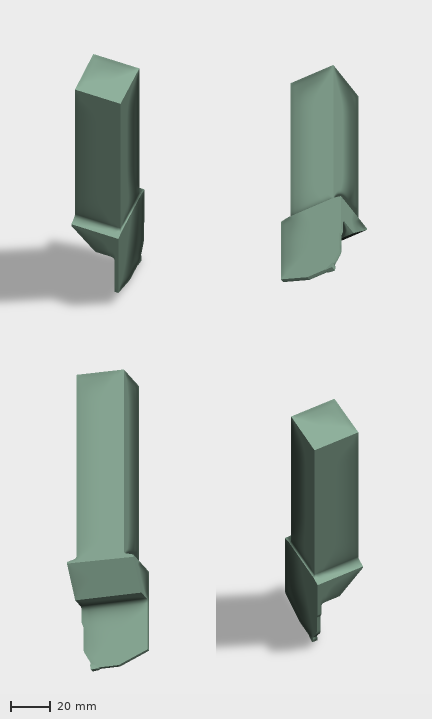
import cadquery as cq
import math


overall_length = 152.4
overall_width_x = 26.69
head_width_y = 35.47
half_head = head_width_y / 2

shank_size = 25.4
half_shank = shank_size / 2
shank_taper = 0.38

shoulder_start_z = -99.2
shoulder_fillet = 1.5
shoulder_slope = math.radians(15)
shoulder_overhang = half_head - half_shank

tip_overhang = 0.4
blade_outer_x = overall_width_x - tip_overhang
blade_thickness = 2.2
blade_inner_x = blade_outer_x - blade_thickness
blade_root_fillet = 1.8
head_slope_top_z = -102.6
head_slope_bottom_x = 13.6
head_bottom_z = -117.7
blade_bottom_z = -151.6

front_step_top_z = -126.0
front_step_bottom_z = -128.5
front_edge_y = 16.8
front_bend_z = -141.7
front_bend_radius = 7.0
back_corner_top_z = -144.8
back_corner_y = -2.2

insert_front = (12.9, -148.6)
insert_top_front = (10.4, -142.5)
insert_top_back = (6.0, -142.5)
insert_foot_back = (8.5, blade_bottom_z)
insert_foot = (8.8, -152.1)
insert_tip = (half_shank, -overall_length)
insert_rake = (13.15, -150.0)
insert_top_radius = 1.2


def shoulder_points():
    """Fillet middle, fillet end and outer edge, as (distance from shank, Z)."""
    fillet_turn = math.pi / 2 - shoulder_slope
    points = []
    for turn in (fillet_turn / 2, fillet_turn):
        distance = shoulder_fillet * (1 - math.cos(turn))
        points.append((distance, shoulder_start_z - shoulder_fillet * math.sin(turn)))
    end_distance, end_z = points[-1]
    edge_z = end_z - (shoulder_overhang - end_distance) * math.tan(shoulder_slope)
    points.append((shoulder_overhang, edge_z))
    return points


def insert_prism(thickness_start, thickness):
    """The insert outline, running along X."""
    outline = [insert_front, insert_top_front, insert_top_back, insert_foot_back,
               insert_foot, insert_tip, insert_rake]
    prism = (
        cq.Workplane("YZ", origin=(thickness_start, 0, 0))
        .polyline(outline)
        .close()
        .extrude(thickness)
    )
    for corner in (insert_top_front, insert_top_back):
        corner_edge = cq.selectors.NearestToPointSelector((thickness_start + thickness / 2, *corner))
        prism = prism.edges("|X").edges(corner_edge).fillet(insert_top_radius)
    return prism


def holder_side_prism():
    """Holder outline across X and Z: shank, sloped head and thin blade.

    The +X shoulder runs on past the blade's outer face, where the front prism trims it.
    """
    middle, end, edge = shoulder_points()
    prism = (
        cq.Workplane("XZ", origin=(0, half_head, 0))
        .moveTo(0, 0)
        .lineTo(shank_size, 0)
        .lineTo(shank_size, shoulder_start_z)
        .threePointArc((shank_size + middle[0], middle[1]), (shank_size + end[0], end[1]))
        .lineTo(shank_size + edge[0], edge[1])
        .lineTo(shank_size + edge[0], blade_bottom_z)
        .lineTo(blade_inner_x, blade_bottom_z)
        .lineTo(blade_inner_x, head_bottom_z)
        .lineTo(head_slope_bottom_x, head_bottom_z)
        .lineTo(0, head_slope_top_z)
        .close()
        .extrude(head_width_y)
    )
    root = cq.selectors.NearestToPointSelector((blade_inner_x, 0, head_bottom_z))
    return prism.edges("|Y").edges(root).fillet(blade_root_fillet)


def holder_front_prism():
    """Holder outline across Y and Z: shank, shoulders and blade edges."""
    middle, end, edge = shoulder_points()
    prism = (
        cq.Workplane("YZ")
        .moveTo(-half_shank, 0)
        .lineTo(half_shank, 0)
        .lineTo(half_shank, shoulder_start_z)
        .threePointArc((half_shank + middle[0], middle[1]), (half_shank + end[0], end[1]))
        .lineTo(half_shank + edge[0], edge[1])
        .lineTo(half_head, front_step_top_z)
        .lineTo(front_edge_y, front_step_bottom_z)
        .lineTo(front_edge_y, front_bend_z)
        .lineTo(*insert_front)
        .lineTo(*insert_foot_back)
        .lineTo(back_corner_y, blade_bottom_z)
        .lineTo(-half_head, back_corner_top_z)
        .lineTo(-half_shank - edge[0], edge[1])
        .lineTo(-half_shank - end[0], end[1])
        .threePointArc((-half_shank - middle[0], middle[1]), (-half_shank, shoulder_start_z))
        .close()
        .extrude(blade_outer_x)
    )
    bend = cq.selectors.NearestToPointSelector((blade_outer_x / 2, front_edge_y, front_bend_z))
    return prism.edges("|X").edges(bend).fillet(front_bend_radius)


def make_holder():
    holder = holder_side_prism().intersect(holder_front_prism())
    taper_wedge = (
        cq.Workplane("XY")
        .polyline([(0, half_head), (shank_taper, -half_head), (0, -half_head)])
        .close()
        .extrude(-overall_length)
    )
    return holder.cut(taper_wedge).cut(insert_prism(blade_inner_x, blade_thickness))


def make_insert():
    """Blade-thick inside its pocket, flaring to a wider cutting edge outside the blade outline."""
    cutting_width = blade_thickness + 2 * tip_overhang
    wide_insert = insert_prism(blade_inner_x - tip_overhang, cutting_width)

    line_y = insert_foot_back[0] - insert_front[0]
    line_z = insert_foot_back[1] - insert_front[1]
    tip_y = insert_tip[0] - insert_front[0]
    tip_z = insert_tip[1] - insert_front[1]
    flare_depth = (line_y * tip_z - line_z * tip_y) / math.hypot(line_y, line_z)
    half_blade = blade_thickness / 2
    half_cut = cutting_width / 2
    flare_plane = cq.Plane(
        origin=(blade_inner_x + half_blade, *insert_front),
        xDir=(1, 0, 0),
        normal=(0, -line_y, -line_z),
    )
    flare = (
        cq.Workplane(flare_plane)
        .polyline([
            (-half_blade, -head_width_y),
            (half_blade, -head_width_y),
            (half_blade, 0),
            (half_cut, flare_depth),
            (-half_cut, flare_depth),
            (-half_blade, 0),
        ])
        .close()
        .extrude(head_width_y, both=True)
    )
    return wide_insert.intersect(flare)


holder = make_holder()
insert = make_insert()
result = cq.Compound.makeCompound([holder.val(), insert.val()])